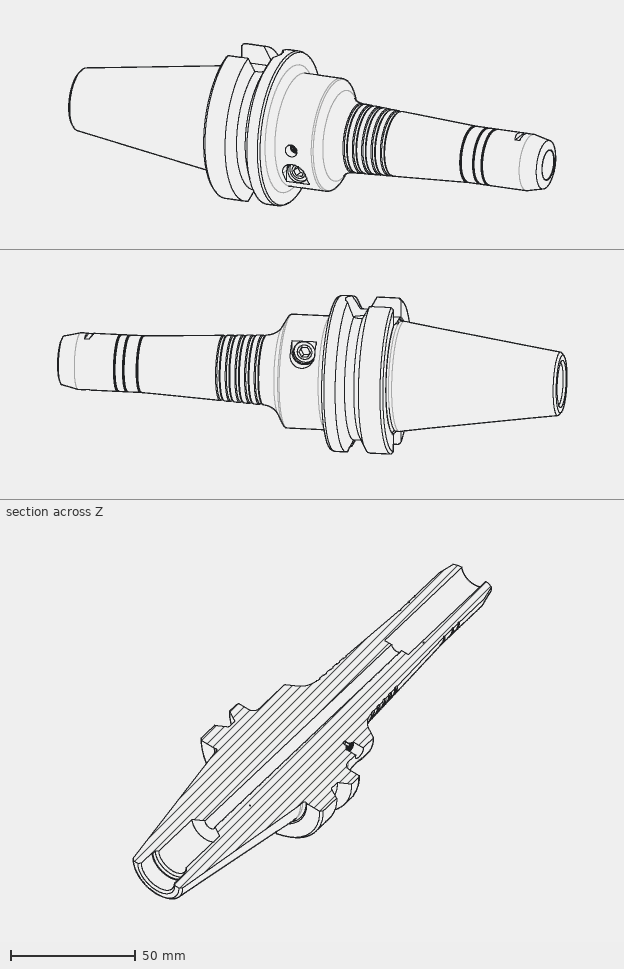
import cadquery as cq
import math


GAUGE_RADIUS = 44.45 / 2
TAPER_LENGTH = 65.4
TAPER_SLOPE = 7 / 48
TAIL_CHAMFER = 1.0

FLANGE_START = 2.0
FLANGE_END = 27.0
FLANGE_RADIUS = 63.0 / 2
FLANGE_CHAMFER = 1.0
FLANGE_REAR_CHAMFER_DEPTH = 0.4
FLANGE_ROOT_FILLET = 1.0
FLANGE_RELIEF_DEPTH = 0.3
FLANGE_RELIEF_WIDTH = 0.6
GROOVE_CENTRE = 16.6
GROOVE_FLOOR_RADIUS = 26.5
GROOVE_FLOOR_WIDTH = 3.8
GROOVE_FLANK_ANGLE = math.radians(30)

SLOT_WIDTH = 16.1
SLOT_FLOOR = 22.5
SLOT_END = 23.1

BODY_RADIUS = 46.0 / 2
BODY_FILLET = 3.0
SHOULDER_ANGLE = math.radians(60)
SHOULDER_EDGE_RADIUS = 0.8
SHOULDER_FILLET = 8.6

NECK_END = 106.8
NECK_ANGLE = math.radians(3)
NOSE_RADIUS = 23.0 / 2
NOSE_TAPER_START = 132.2
NOSE_END = 140.0
NOSE_CROWN_START = 139.0
NOSE_CROWN_RADIUS = 9.9

NECK_RING_FIRST = 57.0
NECK_RING_PITCH = 4.0
NECK_RING_COUNT = 5
NECK_RING_WIDTH = 1.9
NECK_RING_FLOOR_WIDTH = 1.0
NECK_RING_DEPTH = 0.3
NECK_START = NECK_RING_FIRST - NECK_RING_WIDTH / 2
NOSE_RING_CENTRES = (106.5, 112.1, 115.8)
NOSE_RING_WIDTH = 0.7
NOSE_RING_FLOOR_WIDTH = 0.3
NOSE_RING_DEPTH = 0.3

FLAT_HEIGHT = 10.5
FLAT_START = 127.5
FLAT_END = 129.4

TOOL_BORE_RADIUS = 12.0 / 2
TOOL_BORE_MOUTH_RADIUS = 12.4 / 2
TOOL_BORE_DEPTH = 50.0
COOLANT_RADIUS = 5.0 / 2
DRAWBAR_MOUTH_RADIUS = 19.0 / 2
DRAWBAR_PILOT_RADIUS = 17.0 / 2
DRAWBAR_PILOT_DEPTH = 8.0
DRAWBAR_SEAT_RADIUS = 16.0 / 2
DRAWBAR_SEAT_DEPTH = 9.5
DRAWBAR_THREAD_RADIUS = 14.0 / 2
DRAWBAR_THREAD_DEPTH = 32.0
DRILL_POINT_SLOPE = math.tan(math.radians(59))

SCREW_X = 37.1
POCKET_WIDTH = 10.0
POCKET_CENTRE_Z = -12.0
POCKET_FLOOR = 15.8
SCREW_RECESS_DIAMETER = 9.0
SCREW_RECESS_DEPTH = 2.0
SCREW_FACE_DIAMETER = 6.0
SCREW_FACE_HEIGHT = 1.2
SCREW_SOCKET_DIAMETER = 4.62
SCREW_SOCKET_DEPTH = 4.0

PLUG_Z = -0.9
PLUG_STEPS = ((5.0, 5.0), (4.1, 5.5), (3.0, 6.0))
PLUG_SOCKET_DIAMETER = 2.31
PLUG_SOCKET_DEPTH = 2.0


def taper_radius(x):
    return GAUGE_RADIUS + x * TAPER_SLOPE


def neck_radius(x):
    return NOSE_RADIUS + max(0.0, NECK_END - x) * math.tan(NECK_ANGLE)


def revolve_about_x(sketch):
    return sketch.close().revolve(360, (0, 0, 0), (1, 0, 0))


def arc_point(centre, radius, angle):
    """Point on the axis side of a fillet, where the surface normal leans by angle from radial."""
    return (centre[0] - radius * math.sin(angle), centre[1] - radius * math.cos(angle))


def crest_point(centre, radius, angle):
    """Point on the outer side of a rounded edge, where the surface normal leans by angle from radial."""
    return (centre[0] + radius * math.sin(angle), centre[1] + radius * math.cos(angle))


def turned_body():
    flank = (FLANGE_RADIUS - GROOVE_FLOOR_RADIUS) * math.tan(GROOVE_FLANK_ANGLE)
    floor_left = GROOVE_CENTRE - GROOVE_FLOOR_WIDTH / 2
    floor_right = GROOVE_CENTRE + GROOVE_FLOOR_WIDTH / 2
    root = FLANGE_ROOT_FILLET
    diagonal = math.radians(45)
    root_face = FLANGE_START + FLANGE_RELIEF_DEPTH
    root_centre = (root_face - root, GAUGE_RADIUS + root)
    root_middle = arc_point(root_centre, root, -diagonal)
    body_centre = (FLANGE_END + BODY_FILLET, BODY_RADIUS + BODY_FILLET)
    neck_point = (NECK_START, neck_radius(NECK_START))
    shoulder_centre = (
        neck_point[0] + SHOULDER_FILLET * math.sin(NECK_ANGLE),
        neck_point[1] + SHOULDER_FILLET * math.cos(NECK_ANGLE),
    )
    shoulder_point = arc_point(shoulder_centre, SHOULDER_FILLET, SHOULDER_ANGLE)
    shoulder_middle = arc_point(shoulder_centre, SHOULDER_FILLET, (SHOULDER_ANGLE + NECK_ANGLE) / 2)
    shoulder_top = shoulder_point[0] - (BODY_RADIUS - shoulder_point[1]) / math.tan(SHOULDER_ANGLE)
    edge_centre = (
        shoulder_top - SHOULDER_EDGE_RADIUS * math.tan(SHOULDER_ANGLE / 2),
        BODY_RADIUS - SHOULDER_EDGE_RADIUS,
    )

    crown_rise = NOSE_END - NOSE_CROWN_START
    crown_width = NOSE_CROWN_RADIUS - TOOL_BORE_MOUTH_RADIUS
    crown_arc_radius = (crown_width**2 + crown_rise**2) / (2 * crown_rise)
    crown_half_angle = math.asin(crown_width / crown_arc_radius) / 2
    crown_middle = (
        NOSE_END - crown_arc_radius * (1 - math.cos(crown_half_angle)),
        TOOL_BORE_MOUTH_RADIUS + crown_arc_radius * math.sin(crown_half_angle),
    )
    tail = -TAPER_LENGTH

    profile = (
        cq.Workplane("XY")
        .moveTo(tail, 0)
        .lineTo(tail, taper_radius(tail) - TAIL_CHAMFER)
        .lineTo(tail + TAIL_CHAMFER, taper_radius(tail + TAIL_CHAMFER))
        .lineTo(0, GAUGE_RADIUS)
        .lineTo(root_centre[0], GAUGE_RADIUS)
        .threePointArc(root_middle, (root_face, root_centre[1]))
        .lineTo(FLANGE_START, root_centre[1] + FLANGE_RELIEF_WIDTH)
        .lineTo(FLANGE_START, FLANGE_RADIUS - FLANGE_CHAMFER)
        .lineTo(FLANGE_START + FLANGE_CHAMFER, FLANGE_RADIUS)
        .lineTo(floor_left - flank, FLANGE_RADIUS)
        .lineTo(floor_left, GROOVE_FLOOR_RADIUS)
        .lineTo(floor_right, GROOVE_FLOOR_RADIUS)
        .lineTo(floor_right + flank, FLANGE_RADIUS)
        .lineTo(FLANGE_END - FLANGE_CHAMFER, FLANGE_RADIUS)
        .lineTo(FLANGE_END, FLANGE_RADIUS - FLANGE_REAR_CHAMFER_DEPTH)
        .lineTo(FLANGE_END, body_centre[1])
        .threePointArc(arc_point(body_centre, BODY_FILLET, diagonal), (body_centre[0], BODY_RADIUS))
        .lineTo(edge_centre[0], BODY_RADIUS)
        .threePointArc(
            crest_point(edge_centre, SHOULDER_EDGE_RADIUS, SHOULDER_ANGLE / 2),
            crest_point(edge_centre, SHOULDER_EDGE_RADIUS, SHOULDER_ANGLE),
        )
        .lineTo(*shoulder_point)
        .threePointArc(shoulder_middle, neck_point)
        .lineTo(NECK_END, NOSE_RADIUS)
        .lineTo(NOSE_TAPER_START, NOSE_RADIUS)
        .lineTo(NOSE_CROWN_START, NOSE_CROWN_RADIUS)
        .threePointArc(crown_middle, (NOSE_END, TOOL_BORE_MOUTH_RADIUS))
        .lineTo(NOSE_END, 0)
    )
    return revolve_about_x(profile)


def bores():
    mouth = TOOL_BORE_MOUTH_RADIUS - TOOL_BORE_RADIUS
    pilot_chamfer = DRAWBAR_MOUTH_RADIUS - DRAWBAR_PILOT_RADIUS
    seat_cone = DRAWBAR_SEAT_RADIUS - DRAWBAR_THREAD_RADIUS
    tail = -TAPER_LENGTH
    thread_end = tail + DRAWBAR_THREAD_DEPTH
    point_length = (DRAWBAR_THREAD_RADIUS - COOLANT_RADIUS) / DRILL_POINT_SLOPE
    profile = (
        cq.Workplane("XY")
        .moveTo(tail, 0)
        .lineTo(tail, DRAWBAR_MOUTH_RADIUS)
        .lineTo(tail + pilot_chamfer, DRAWBAR_PILOT_RADIUS)
        .lineTo(tail + DRAWBAR_PILOT_DEPTH, DRAWBAR_PILOT_RADIUS)
        .lineTo(tail + DRAWBAR_PILOT_DEPTH, DRAWBAR_SEAT_RADIUS)
        .lineTo(tail + DRAWBAR_SEAT_DEPTH, DRAWBAR_SEAT_RADIUS)
        .lineTo(tail + DRAWBAR_SEAT_DEPTH + seat_cone, DRAWBAR_THREAD_RADIUS)
        .lineTo(thread_end, DRAWBAR_THREAD_RADIUS)
        .lineTo(thread_end + point_length, COOLANT_RADIUS)
        .lineTo(NOSE_END - TOOL_BORE_DEPTH, COOLANT_RADIUS)
        .lineTo(NOSE_END - TOOL_BORE_DEPTH, TOOL_BORE_RADIUS)
        .lineTo(NOSE_END - mouth, TOOL_BORE_RADIUS)
        .lineTo(NOSE_END, TOOL_BORE_MOUTH_RADIUS)
        .lineTo(NOSE_END, 0)
    )
    return revolve_about_x(profile)


def ring_groove(centre, width, floor_width, depth):
    """Ring with a trapezoidal section, cut into the neck or nose surface."""
    left = centre - width / 2
    right = centre + width / 2
    floor_left = centre - floor_width / 2
    floor_right = centre + floor_width / 2
    lip = 1.0
    profile = (
        cq.Workplane("XY")
        .moveTo(left, neck_radius(left) + lip)
        .lineTo(left, neck_radius(left))
        .lineTo(floor_left, neck_radius(floor_left) - depth)
        .lineTo(floor_right, neck_radius(floor_right) - depth)
        .lineTo(right, neck_radius(right))
        .lineTo(right, neck_radius(right) + lip)
    )
    return revolve_about_x(profile)


def drive_slot():
    length = SLOT_END - SLOT_WIDTH / 2
    height = FLANGE_RADIUS - SLOT_FLOOR
    slot = cq.Workplane("XY", origin=(0, 0, SLOT_FLOOR))
    straight = slot.center(length / 2, 0).rect(length, SLOT_WIDTH).extrude(height)
    end = slot.center(length, 0).circle(SLOT_WIDTH / 2).extrude(height)
    return straight.union(end)


def nose_flat():
    depth = NOSE_RADIUS - FLAT_HEIGHT
    return (
        cq.Workplane("XZ")
        .moveTo(FLAT_START, FLAT_HEIGHT)
        .lineTo(FLAT_END, FLAT_HEIGHT)
        .lineTo(FLAT_END, NOSE_RADIUS)
        .lineTo(FLAT_START - depth, NOSE_RADIUS)
        .close()
        .extrude(NOSE_RADIUS, both=True)
    )


def side_plane(z, y):
    """Work plane facing -Y, so that extruding by a negative length cuts into the part."""
    return cq.Workplane("XZ", origin=(SCREW_X, y, z))


def screw_pocket():
    floor = side_plane(POCKET_CENTRE_Z, -POCKET_FLOOR)
    height = BODY_RADIUS - POCKET_FLOOR
    reach = BODY_RADIUS + POCKET_CENTRE_Z
    round_top = floor.circle(POCKET_WIDTH / 2).extrude(height)
    open_side = floor.center(0, -reach / 2).rect(POCKET_WIDTH, reach).extrude(height)
    recess = floor.circle(SCREW_RECESS_DIAMETER / 2).extrude(-SCREW_RECESS_DEPTH)
    recess_y = SCREW_RECESS_DEPTH - POCKET_FLOOR
    screw_y = recess_y - SCREW_FACE_HEIGHT
    bevel = math.degrees(
        math.atan((SCREW_RECESS_DIAMETER - SCREW_FACE_DIAMETER) / 2 / SCREW_FACE_HEIGHT)
    )
    screw_end = (
        side_plane(POCKET_CENTRE_Z, recess_y)
        .circle(SCREW_RECESS_DIAMETER / 2)
        .extrude(SCREW_FACE_HEIGHT, taper=bevel)
    )
    socket = hex_socket(POCKET_CENTRE_Z, screw_y, SCREW_SOCKET_DIAMETER, SCREW_SOCKET_DEPTH)
    return round_top.union(open_side).union(recess.cut(screw_end)).union(socket)


def hex_socket(z, y, diameter, depth):
    """Hexagonal socket with a conical bottom."""
    radius = diameter / 2
    point = radius / DRILL_POINT_SLOPE
    hexagon = side_plane(z, y).polygon(6, diameter).extrude(-(depth + point))
    envelope = (
        cq.Workplane("XY")
        .polyline([(0, 0), (radius, 0), (radius, depth), (0, depth + point)])
        .close()
        .revolve(360, (0, 0, 0), (0, 1, 0))
        .translate((SCREW_X, y, z))
    )
    return hexagon.intersect(envelope)


def plug_hole():
    """Stepped hole, narrowing towards a hexagonal socket."""
    mouth = side_plane(PLUG_Z, -BODY_RADIUS)
    hole = hex_socket(PLUG_Z, PLUG_STEPS[-1][1] - BODY_RADIUS, PLUG_SOCKET_DIAMETER, PLUG_SOCKET_DEPTH)
    for diameter, depth in PLUG_STEPS:
        hole = hole.union(mouth.circle(diameter / 2).extrude(-depth))
    return hole


result = turned_body().cut(bores())

for index in range(NECK_RING_COUNT):
    ring_centre = NECK_RING_FIRST + index * NECK_RING_PITCH
    result = result.cut(ring_groove(ring_centre, NECK_RING_WIDTH, NECK_RING_FLOOR_WIDTH, NECK_RING_DEPTH))

for ring_centre in NOSE_RING_CENTRES:
    result = result.cut(ring_groove(ring_centre, NOSE_RING_WIDTH, NOSE_RING_FLOOR_WIDTH, NOSE_RING_DEPTH))

for turn in (0, 180):
    for cutter in (drive_slot(), nose_flat(), screw_pocket()):
        result = result.cut(cutter.rotate((0, 0, 0), (1, 0, 0), turn))

result = result.cut(plug_hole())